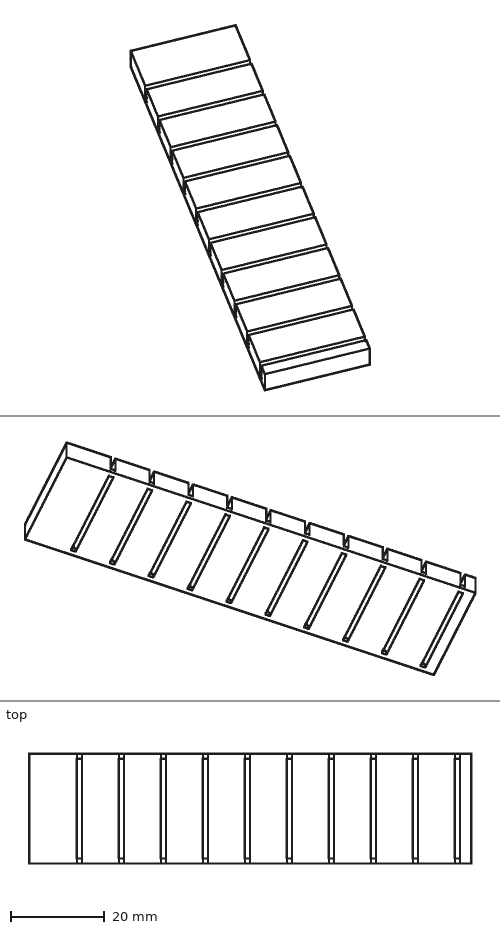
import cadquery as cq

length = 94.5
width = 23.5
height = 5.4

slot_count = 10
slot_pitch = 9.0
slot_width = 1.0
first_slot_start = 10.2

rail_height = 1.1
rail_width = 1.1


def slot_cutter(center_x):
    """Cut across the full width above the rails and right through between them."""
    upper_cut = cq.Workplane("XY").box(
        slot_width, width, height - rail_height, centered=(True, True, False)
    )
    through_cut = cq.Workplane("XY").box(
        slot_width, width - 2 * rail_width, height, centered=(True, True, False)
    )
    upper_cut = upper_cut.translate((0, 0, rail_height))
    return upper_cut.union(through_cut).translate((center_x, 0, 0))


result = cq.Workplane("XY").box(length, width, height, centered=(False, True, False))

for slot_index in range(slot_count):
    slot_center = first_slot_start + slot_width / 2 + slot_index * slot_pitch
    result = result.cut(slot_cutter(slot_center))